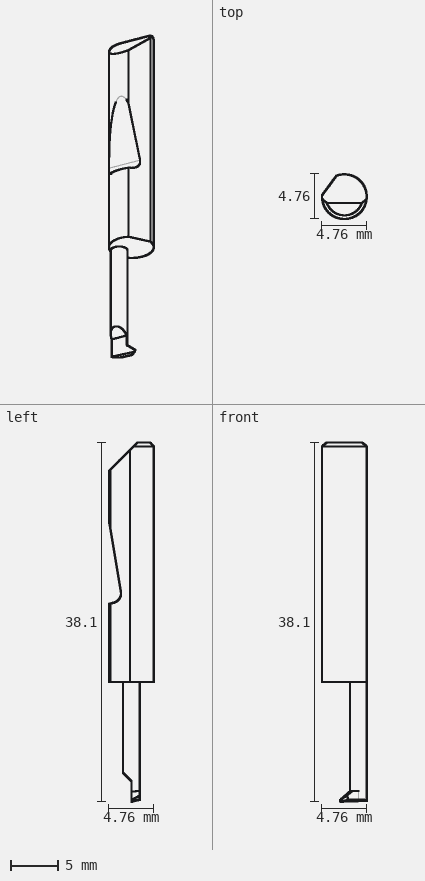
import cadquery as cq
import math

shank_diameter = 4.7625
shank_radius = shank_diameter / 2
total_length = 38.1
neck_length = 12.7
shank_bottom = neck_length

end_chamfer = 0.4
flat_distance = 2.0
flat_normal_angle = 143.5
bevel_edge_y = -0.65

notch_top_z = 29.8
notch_floor_y = 0.97
notch_ramp_angle = 9.5
notch_lip_rise_angle = 15.0
notch_seat_radius = 1.0

neck_radius = 0.9
neck_x = shank_radius - neck_radius
rake_face_top_z = 2.2

head_top_z = 1.16
tip_x = -0.47
nose_height = 0.18
nose_angle = 18.0
flank_angle = 41.0
bottom_clearance_angle = 2.0
bottom_relief_height = 0.19
heel_x = 0.27
heel_corner_z = 0.67


def prism_along_x(points):
    """Prism through the whole shank from (Y, Z) points."""
    return cq.Workplane("YZ").polyline(points).close().extrude(shank_radius, both=True)


def make_shank():
    length = total_length - shank_bottom
    shank = cq.Workplane("XY").workplane(offset=shank_bottom).circle(shank_radius).extrude(length)
    return shank.faces(">Z").chamfer(end_chamfer)


def make_side_flat_cutter():
    cutter = cq.Workplane("XY").box(
        shank_radius, shank_diameter, total_length, centered=(False, True, False)
    )
    return cutter.translate((flat_distance, 0, 0)).rotate((0, 0, 0), (0, 0, 1), flat_normal_angle)


def make_end_bevel_cutter():
    reach = shank_diameter
    return prism_along_x([
        (bevel_edge_y, total_length),
        (bevel_edge_y + reach, total_length),
        (bevel_edge_y + reach, total_length - reach),
    ])


def make_notch_cutter():
    depth = shank_radius - notch_floor_y
    ramp_run = depth / math.tan(math.radians(notch_ramp_angle))
    lip_drop = depth * math.tan(math.radians(notch_lip_rise_angle))
    floor_z = notch_top_z - ramp_run
    cutter = prism_along_x([
        (shank_radius, notch_top_z),
        (notch_floor_y, floor_z),
        (shank_radius, floor_z - lip_drop),
    ])
    return cutter.edges("<Y").fillet(notch_seat_radius)


def make_neck():
    neck = cq.Workplane("XY").center(neck_x, 0).circle(neck_radius).extrude(shank_bottom)
    half_cut = prism_along_x([
        (0, -rake_face_top_z),
        (0, rake_face_top_z),
        (shank_radius, rake_face_top_z + shank_radius),
        (shank_radius, -rake_face_top_z),
    ])
    return neck.cut(half_cut)


def loft_back(front_outline, back_outline, depth):
    """Straight-sided body from an (X, Z) outline at Y = 0 to one at Y = -depth."""
    return (
        cq.Workplane("XZ").polyline(front_outline).close()
        .workplane(offset=depth).polyline(back_outline).close()
        .loft(ruled=True, combine=True)
    )


def make_head():
    flank_slope = math.tan(math.radians(flank_angle))
    nose_slope = math.tan(math.radians(nose_angle))
    flank_run = (head_top_z - nose_height) / flank_slope
    heel_flank_run = (head_top_z - heel_corner_z) / flank_slope
    rake_outline = [
        (tip_x, nose_height),
        (tip_x + nose_height * nose_slope, 0),
        (neck_x, 0),
        (neck_x, head_top_z),
        (tip_x + flank_run, head_top_z),
    ]
    heel_outline = [
        (heel_x, heel_corner_z),
        (heel_x + heel_corner_z * nose_slope, 0),
        (neck_x, 0),
        (neck_x, head_top_z),
        (heel_x + heel_flank_run, head_top_z),
    ]
    return loft_back(rake_outline, heel_outline, neck_radius)


def make_bottom_cutter():
    """Wedge under the tip: clearance rising toward +X and relief rising toward -Y."""
    nose_x = tip_x + nose_height * math.tan(math.radians(nose_angle))
    rise = neck_length * math.tan(math.radians(bottom_clearance_angle))
    depth = 2 * neck_radius
    back_rise = depth / neck_radius * bottom_relief_height

    def outline(height):
        return [
            (nose_x - neck_length, height - rise),
            (nose_x + neck_length, height + rise),
            (nose_x + neck_length, -neck_length),
            (nose_x - neck_length, -neck_length),
        ]

    return loft_back(outline(0), outline(back_rise), depth)


shank = (
    make_shank()
    .cut(make_side_flat_cutter())
    .cut(make_end_bevel_cutter())
    .cut(make_notch_cutter())
)
bar = make_neck().union(make_head()).cut(make_bottom_cutter())
result = shank.union(bar)